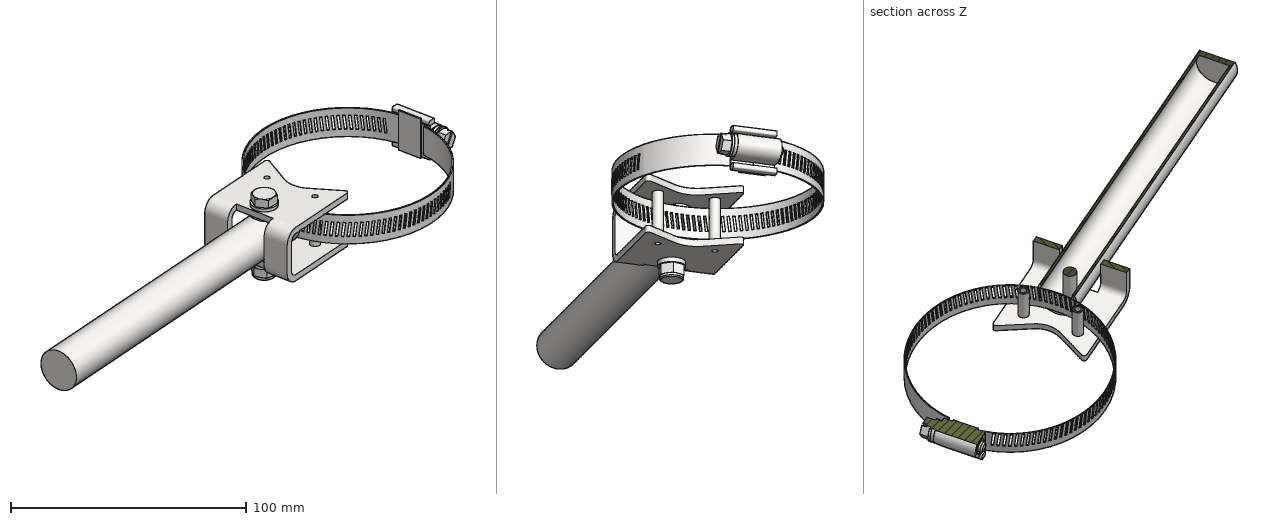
import cadquery as cq
import math


BAND_DIAMETER = 90.0
BAND_THICKNESS = 0.65
BAND_WIDTH = 14.0
BAND_MAIN_START = 26.0
BAND_MAIN_END = 90.0
PLAIN_ARC_INSET = 2.3
PLAIN_ARC_END = 82.0
SLOT_COUNT = 87
SLOT_PITCH_ANGLE = 3.2
FIRST_SLOT_ANGLE = 21.8
SLOT_WIDTH = 1.0
SLOT_HEIGHT = 7.0
SLOT_TILT = 7.0

HOUSING_TOP = 54.1
HOUSING_LEFT = -9.8
HOUSING_LENGTH = 19.8
BARREL_RADIUS = 5.1
BARREL_WALL = 1.3
SADDLE_BOTTOM = 44.0
SADDLE_THICKNESS = 0.8
PAD_BOTTOM = 43.0
PAD_LENGTH = 11.8
EAR_INNER_Z = 7.2
EAR_OUTER_Z = 9.8
EAR_TOP = 47.7
EAR_ROUNDING = 0.8
SCREW_DIAMETER = 6.7
SCREW_TIP_DIAMETER = 5.0
SCREW_TIP_LENGTH = 1.8
SCREW_TIP_CHAMFER = 0.8
COLLAR_DIAMETER = 9.8
COLLAR_LENGTH = 1.5
FLANGE_DIAMETER = 10.3
FLANGE_LENGTH = 1.0
SCREW_HEX_CORNERS = 9.2
SCREW_HEX_LENGTH = 4.0
DRIVER_SLOT_WIDTH = 1.0
DRIVER_SLOT_DEPTH = 2.0
DRIVER_SLOT_ANGLE = 30.0

BRACKET_HALF_WIDTH = 22.0
BRACKET_HEIGHT = 26.5
PLATE_THICKNESS = 3.0
BEND_RADIUS = 6.2
BRACKET_BACK = -71.3
NOTCH_ANGLE = 30.0
NOTCH_BOTTOM = -38.0
NOTCH_RADIUS = 12.5
TIP_ROUNDING = 1.3
BEND_SLOT_WIDTH = 19.5
PIN_X = 12.8
PIN_Y = -39.8
PIN_DIAMETER = 5.0
PIN_BORE = 2.5
BOLT_Y = -58.5
BOLT_HOLE = 6.5

TUBE_DIAMETER = 19.0
TUBE_BORE = 16.7
TUBE_FRONT = -46.0
OVERALL_LENGTH = 256.5
HANDLE_END = HOUSING_TOP - OVERALL_LENGTH
CAP_LENGTH = 3.0
BOLT_DIAMETER = 6.0
WASHER_DIAMETER = 12.0
WASHER_THICKNESS = 1.5
HEX_ACROSS_FLATS = 10.0
HEAD_HEIGHT = 4.0
HEAD_BEVEL_ANGLE = 30.0
HEAD_TURN = -94.0
NUT_TURN = -101.6
NUT_WASHER_THICKNESS = 2.0
NUT_HEX_HEIGHT = 4.5
NUT_COLLAR_DIAMETER = 10.3
NUT_COLLAR_HEIGHT = 1.5
NUT_COLLAR_CHAMFER = 0.5

BAND_RADIUS = BAND_DIAMETER / 2
BRACKET_HALF_HEIGHT = BRACKET_HEIGHT / 2
PLATE_INNER_Z = BRACKET_HALF_HEIGHT - PLATE_THICKNESS
TUBE_Z = TUBE_DIAMETER / 2 - PLATE_INNER_Z
BARREL_Y = HOUSING_TOP - BARREL_RADIUS
HOUSING_RIGHT = HOUSING_LEFT + HOUSING_LENGTH


def polar(radius, angle, center=(0.0, 0.0)):
    a = math.radians(angle)
    return (center[0] + radius * math.cos(a), center[1] + radius * math.sin(a))


def curved_strip(outer_radius, start_angle, end_angle, center=(0.0, 0.0)):
    """An arc of band between two angles, centred on Z = 0."""
    inner_radius = outer_radius - BAND_THICKNESS
    mid_angle = (start_angle + end_angle) / 2
    return (
        cq.Workplane("XY", origin=(0, 0, -BAND_WIDTH / 2))
        .moveTo(*polar(outer_radius, start_angle, center))
        .threePointArc(polar(outer_radius, mid_angle, center), polar(outer_radius, end_angle, center))
        .lineTo(*polar(inner_radius, end_angle, center))
        .threePointArc(polar(inner_radius, mid_angle, center), polar(inner_radius, start_angle, center))
        .close()
        .extrude(BAND_WIDTH)
    )


def make_band_slots():
    """One radial cutter for each worm slot of the band."""
    cutter_depth = 4 * BAND_THICKNESS
    cutter = cq.Workplane("XY").box(cutter_depth, SLOT_WIDTH, SLOT_HEIGHT)
    cutter = cutter.rotate((0, 0, 0), (1, 0, 0), -SLOT_TILT)
    cutter = cutter.translate((BAND_RADIUS - BAND_THICKNESS / 2, 0, 0))
    slots = []
    for i in range(SLOT_COUNT):
        angle = FIRST_SLOT_ANGLE - i * SLOT_PITCH_ANGLE
        slots.append(cutter.rotate((0, 0, 0), (0, 0, 1), angle).val())
    return cq.Compound.makeCompound(slots)


def make_band():
    perforated = curved_strip(BAND_RADIUS, BAND_MAIN_START, BAND_MAIN_END - 360)
    perforated = perforated.cut(cq.Workplane(make_band_slots()))
    plain_center = polar(PLAIN_ARC_INSET, BAND_MAIN_START)
    plain = curved_strip(BAND_RADIUS - PLAIN_ARC_INSET, BAND_MAIN_START, PLAIN_ARC_END, plain_center)
    return perforated.union(plain)


def make_housing():
    """Saddle with two ears and a pad below, and a U-shaped barrel around the worm screw."""
    section = cq.Workplane("YZ", origin=(HOUSING_LEFT, 0, 0))

    def arch(radius):
        return (
            section.moveTo(SADDLE_BOTTOM, -radius)
            .lineTo(BARREL_Y, -radius)
            .threePointArc((BARREL_Y + radius, 0), (BARREL_Y, radius))
            .lineTo(SADDLE_BOTTOM, radius)
            .close()
            .extrude(HOUSING_LENGTH)
        )

    housing = arch(BARREL_RADIUS).cut(arch(BARREL_RADIUS - BARREL_WALL))
    saddle = (
        section.center(SADDLE_BOTTOM + SADDLE_THICKNESS / 2, 0)
        .rect(SADDLE_THICKNESS, 2 * EAR_INNER_Z)
        .extrude(HOUSING_LENGTH)
    )
    housing = housing.union(saddle)
    pad = (
        cq.Workplane("XY")
        .box(PAD_LENGTH, SADDLE_BOTTOM - PAD_BOTTOM, 2 * EAR_OUTER_Z)
        .translate((0, (SADDLE_BOTTOM + PAD_BOTTOM) / 2, 0))
    )
    for side in (-1, 1):
        ear = (
            section.center((SADDLE_BOTTOM + EAR_TOP) / 2, side * (EAR_INNER_Z + EAR_OUTER_Z) / 2)
            .rect(EAR_TOP - SADDLE_BOTTOM, EAR_OUTER_Z - EAR_INNER_Z)
            .extrude(HOUSING_LENGTH)
            .edges("|X")
            .fillet(EAR_ROUNDING)
        )
        housing = housing.union(ear)
    return housing.union(pad)


def make_worm_screw():
    """Screw along X through the barrel, with a slotted hexagon head on its +X end."""

    def at(x):
        return cq.Workplane("YZ", origin=(x, BARREL_Y, 0))

    flange_x = HOUSING_RIGHT + COLLAR_LENGTH
    hex_x = flange_x + FLANGE_LENGTH
    tip = at(HOUSING_LEFT - SCREW_TIP_LENGTH).circle(SCREW_TIP_DIAMETER / 2).extrude(SCREW_TIP_LENGTH)
    tip = tip.faces("<X").chamfer(SCREW_TIP_CHAMFER)
    shaft = at(HOUSING_LEFT).circle(SCREW_DIAMETER / 2).extrude(HOUSING_LENGTH)
    collar = at(HOUSING_RIGHT).circle(COLLAR_DIAMETER / 2).extrude(COLLAR_LENGTH)
    flange = at(flange_x).circle(FLANGE_DIAMETER / 2).extrude(FLANGE_LENGTH)
    head = at(hex_x).polygon(6, SCREW_HEX_CORNERS).extrude(SCREW_HEX_LENGTH)
    driver_slot = (
        at(hex_x + SCREW_HEX_LENGTH - DRIVER_SLOT_DEPTH)
        .rect(DRIVER_SLOT_WIDTH, 2 * SCREW_HEX_CORNERS)
        .extrude(DRIVER_SLOT_DEPTH)
        .rotate((0, BARREL_Y, 0), (1, BARREL_Y, 0), -DRIVER_SLOT_ANGLE)
    )
    return tip.union(shaft).union(collar).union(flange).union(head.cut(driver_slot))


def make_hose_clamp():
    return make_band().union(make_housing()).union(make_worm_screw())


def bracket_outline():
    """Plan of the bracket: a rectangle whose open end has a rounded V-shaped notch."""
    slope = math.radians(NOTCH_ANGLE)
    arc_center_y = NOTCH_BOTTOM + NOTCH_RADIUS
    tangent_x = NOTCH_RADIUS * math.sin(slope)
    tangent_y = arc_center_y - NOTCH_RADIUS * math.cos(slope)
    tip_y = tangent_y + (BRACKET_HALF_WIDTH - tangent_x) * math.tan(slope)
    plan = (
        cq.Workplane("XY", origin=(0, 0, -BRACKET_HALF_HEIGHT))
        .moveTo(-BRACKET_HALF_WIDTH, BRACKET_BACK)
        .lineTo(-BRACKET_HALF_WIDTH, tip_y)
        .lineTo(-tangent_x, tangent_y)
        .threePointArc((0, NOTCH_BOTTOM), (tangent_x, tangent_y))
        .lineTo(BRACKET_HALF_WIDTH, tip_y)
        .lineTo(BRACKET_HALF_WIDTH, BRACKET_BACK)
        .close()
        .extrude(BRACKET_HEIGHT)
    )
    return plan.edges("|Z and >Y").fillet(TIP_ROUNDING)


def bent_sheet():
    """The U-bent sheet as a straight channel along X, open toward +Y."""

    def block(back, half_height, radius):
        return (
            cq.Workplane("XY")
            .box(2 * BRACKET_HALF_WIDTH, -back, 2 * half_height)
            .translate((0, back / 2, 0))
            .edges("|X and <Y")
            .fillet(radius)
        )

    outer = block(BRACKET_BACK, BRACKET_HALF_HEIGHT, BEND_RADIUS)
    inner = block(BRACKET_BACK + PLATE_THICKNESS, PLATE_INNER_Z, BEND_RADIUS - PLATE_THICKNESS)
    return outer.cut(inner)


def vertical_rod(x, y, diameter, bottom, top):
    return cq.Workplane("XY", origin=(x, y, bottom)).circle(diameter / 2).extrude(top - bottom)


def make_bracket():
    bracket = bent_sheet().intersect(bracket_outline())
    bend_slot = cq.Workplane("XY").box(BEND_SLOT_WIDTH, BEND_RADIUS, BRACKET_HEIGHT)
    bracket = bracket.cut(bend_slot.translate((0, BRACKET_BACK + BEND_RADIUS / 2, 0)))
    bracket = bracket.cut(vertical_rod(0, BOLT_Y, BOLT_HOLE, -BRACKET_HALF_HEIGHT, BRACKET_HALF_HEIGHT))
    ends = (-BRACKET_HALF_HEIGHT, BRACKET_HALF_HEIGHT)
    pin_hole = vertical_rod(0, PIN_Y, PIN_DIAMETER, *ends)
    pin = pin_hole.cut(vertical_rod(0, PIN_Y, PIN_BORE, *ends))
    for x in (-PIN_X, PIN_X):
        bracket = bracket.cut(pin_hole.translate((x, 0, 0)), clean=False)
        bracket = bracket.union(pin.translate((x, 0, 0)), clean=False)
    return bracket


def make_tube():
    """Tube along Y, open toward the ring."""
    length = TUBE_FRONT - HANDLE_END - CAP_LENGTH
    front = cq.Workplane("XZ", origin=(0, TUBE_FRONT, TUBE_Z))
    return front.circle(TUBE_DIAMETER / 2).circle(TUBE_BORE / 2).extrude(length)


def make_cap():
    """Flat cap that closes the far end of the tube, flush with its outside."""
    cap_face = cq.Workplane("XZ", origin=(0, HANDLE_END + CAP_LENGTH, TUBE_Z))
    return cap_face.circle(TUBE_DIAMETER / 2).extrude(CAP_LENGTH)


def hex_prism(bottom, height, turn):
    corners = HEX_ACROSS_FLATS / math.cos(math.pi / 6)
    prism = cq.Workplane("XY", origin=(0, 0, bottom)).polygon(6, corners).extrude(height)
    return prism.rotate((0, 0, 0), (0, 0, 1), turn).translate((0, BOLT_Y, 0))


def make_bolt_head(bottom):
    """Hexagon head whose corners are bevelled down from the flats circle."""
    flat_radius = HEX_ACROSS_FLATS / 2
    slope = math.tan(math.radians(HEAD_BEVEL_ANGLE))
    top = bottom + HEAD_HEIGHT
    bevel = (
        cq.Workplane("XZ")
        .moveTo(0, bottom)
        .lineTo(2 * flat_radius, bottom)
        .lineTo(2 * flat_radius, top - flat_radius * slope)
        .lineTo(flat_radius, top)
        .lineTo(0, top)
        .close()
        .revolve(360, (0, 0, 0), (0, 1, 0))
        .translate((0, BOLT_Y, 0))
    )
    return hex_prism(bottom, HEAD_HEIGHT, HEAD_TURN).intersect(bevel)


def make_bolt():
    """Cross bolt with its head, three washers and lock nut."""
    head_z = BRACKET_HALF_HEIGHT + WASHER_THICKNESS
    nut_top = -BRACKET_HALF_HEIGHT - NUT_WASHER_THICKNESS
    collar_top = nut_top - NUT_HEX_HEIGHT
    collar_bottom = collar_top - NUT_COLLAR_HEIGHT
    bolt = vertical_rod(0, BOLT_Y, BOLT_DIAMETER, collar_bottom, head_z)
    bolt = bolt.union(make_bolt_head(head_z))
    washer_spans = (
        (BRACKET_HALF_HEIGHT, head_z),
        (PLATE_INNER_Z - WASHER_THICKNESS, PLATE_INNER_Z),
        (nut_top, -BRACKET_HALF_HEIGHT),
    )
    for bottom, top in washer_spans:
        bolt = bolt.union(vertical_rod(0, BOLT_Y, WASHER_DIAMETER, bottom, top))
    bolt = bolt.union(hex_prism(collar_top, NUT_HEX_HEIGHT, NUT_TURN))
    collar = vertical_rod(0, BOLT_Y, NUT_COLLAR_DIAMETER, collar_bottom, collar_top)
    return bolt.union(collar.faces("<Z").chamfer(NUT_COLLAR_CHAMFER))


def make_handle():
    return make_tube().union(make_bolt()).union(make_cap(), clean=False)


hose_clamp = make_hose_clamp()
bracket = make_bracket()
handle = make_handle()

result = cq.Compound.makeCompound([hose_clamp.val(), bracket.val(), handle.val()])